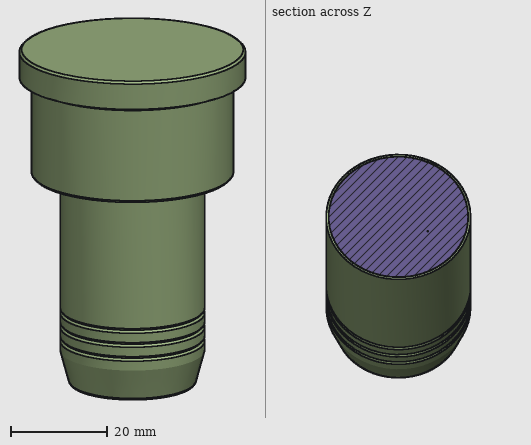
import cadquery as cq
import math

total_height = 72.0
flange_height = 6.0
body_height = 21.0
flange_radius = 47.0 / 2
body_radius = 42.0 / 2
shank_radius = 30.0 / 2

edge_break = 0.5
groove_width = 2 * edge_break

taper_height = 7.0
taper_angle = 15.0
tip_chamfer_height = 0.4
tip_chamfer_width = 0.35

lowest_groove_z = 9.5
groove_pitch = 3.0
groove_count = 3

flange_bottom = total_height - flange_height
body_bottom = flange_bottom - body_height


def disc(radius, bottom, top):
    """Cylinder on the Z axis between two heights."""
    return cq.Workplane("XY").workplane(offset=bottom).circle(radius).extrude(top - bottom)


def revolved(points):
    """Solid of revolution about Z from (radius, height) points."""
    return cq.Workplane("XZ").polyline(points).close().revolve(360, (0, 0, 0), (0, 1, 0))


def make_flange():
    return disc(flange_radius, flange_bottom, total_height).faces(">Z").edges().chamfer(edge_break)


def make_body():
    """Body with a chamfered lower rim and a relief groove below the flange."""
    relief_radius = body_radius - edge_break
    return revolved([
        (0, body_bottom),
        (body_radius - edge_break, body_bottom),
        (body_radius, body_bottom + edge_break),
        (body_radius, flange_bottom - groove_width),
        (relief_radius, flange_bottom - groove_width / 2),
        (relief_radius, flange_bottom),
        (0, flange_bottom),
    ])


def make_shank():
    """Shank with a square relief below the body and a tapered, chamfered tip."""
    relief_radius = shank_radius - edge_break
    relief_bottom = body_bottom - groove_width
    taper_slope = math.tan(math.radians(taper_angle))
    tip_radius = shank_radius - (taper_height - tip_chamfer_height) * taper_slope
    return revolved([
        (0, 0),
        (tip_radius - tip_chamfer_width, 0),
        (tip_radius, tip_chamfer_height),
        (shank_radius, taper_height),
        (shank_radius, relief_bottom),
        (relief_radius, relief_bottom),
        (relief_radius, body_bottom),
        (0, body_bottom),
    ])


def make_groove(center_z):
    """Ring that cuts a 90-degree V groove into the shank."""
    return revolved([
        (shank_radius - edge_break, center_z),
        (shank_radius + edge_break, center_z + groove_width),
        (shank_radius + edge_break, center_z - groove_width),
    ])


result = make_flange().union(make_body()).union(make_shank())
for index in range(groove_count):
    result = result.cut(make_groove(lowest_groove_z + index * groove_pitch))